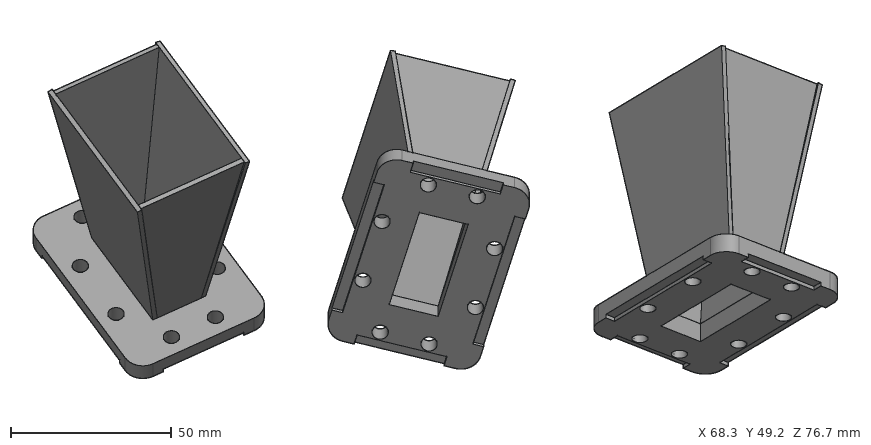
import cadquery as cq
import math

PLATE_LENGTH = 68.35
PLATE_WIDTH = 49.25
PLATE_THICKNESS = 6.4
CORNER_RADIUS = PLATE_THICKNESS

HOLE_DIAMETER = 5.1
HOLE_EDGE_DISTANCE = 6.4
LONG_SIDE_HOLE_SPACING = 22.25
SHORT_SIDE_HOLE_SPACING = 15.9

FOOT_SIZE = 10.05
RELIEF_HEIGHT = 1.3
RELIEF_DEPTH = 3.45

TOTAL_HEIGHT = 76.7
SHEET_THICKNESS = 1.6
MOUTH_LENGTH = 51.3
MOUTH_WIDTH = 37.35
THROAT_LENGTH = 34.75
THROAT_WIDTH = 15.9
BROAD_WALL_TOP_LENGTH = 55.85
BROAD_WALL_BOTTOM_LENGTH = 38.0

HOPPER_HEIGHT = TOTAL_HEIGHT - PLATE_THICKNESS


def make_plate():
    """Rounded plate with the throat opening, mounting holes and edge reliefs."""
    plate = (
        cq.Workplane("XY")
        .box(PLATE_LENGTH, PLATE_WIDTH, PLATE_THICKNESS, centered=(True, True, False))
        .edges("|Z")
        .fillet(CORNER_RADIUS)
    )
    opening = cq.Workplane("XY").rect(THROAT_LENGTH, THROAT_WIDTH).extrude(PLATE_THICKNESS)
    hole_x = PLATE_LENGTH / 2 - HOLE_EDGE_DISTANCE
    hole_y = PLATE_WIDTH / 2 - HOLE_EDGE_DISTANCE
    holes = (
        cq.Workplane("XY")
        .rarray(LONG_SIDE_HOLE_SPACING, 2 * hole_y, 2, 2)
        .circle(HOLE_DIAMETER / 2)
        .extrude(PLATE_THICKNESS)
    )
    holes = holes.add(
        cq.Workplane("XY")
        .rarray(2 * hole_x, SHORT_SIDE_HOLE_SPACING, 2, 2)
        .circle(HOLE_DIAMETER / 2)
        .extrude(PLATE_THICKNESS)
    ).combine()
    long_reliefs = (
        cq.Workplane("XY")
        .rarray(0.8, PLATE_WIDTH - RELIEF_DEPTH, 1, 2)
        .rect(PLATE_LENGTH - 2 * FOOT_SIZE, RELIEF_DEPTH)
        .extrude(RELIEF_HEIGHT)
    )
    short_reliefs = (
        cq.Workplane("XY")
        .rarray(PLATE_LENGTH - RELIEF_DEPTH, 0.8, 2, 1)
        .rect(RELIEF_DEPTH, PLATE_WIDTH - 2 * FOOT_SIZE)
        .extrude(RELIEF_HEIGHT)
    )
    return plate.cut(opening).cut(holes).cut(long_reliefs).cut(short_reliefs)


def trapezoid_prism(plane, bottom_length, top_length, depth):
    """Symmetric trapezoid of hopper height, extruded to both sides of a vertical plane."""
    return (
        cq.Workplane(plane)
        .polyline([
            (-bottom_length / 2, PLATE_THICKNESS),
            (bottom_length / 2, PLATE_THICKNESS),
            (top_length / 2, TOTAL_HEIGHT),
            (-top_length / 2, TOTAL_HEIGHT),
        ])
        .close()
        .extrude(depth / 2, both=True)
    )


def sloping_sheet(plane, side, throat, mouth, length):
    """Sheet leaning outward, flat on the plate and square-cut across its top."""
    slope = math.atan2((mouth - throat) / 2, HOPPER_HEIGHT)
    inner_bottom = throat / 2
    inner_top = mouth / 2
    outer_bottom = inner_bottom + SHEET_THICKNESS / math.cos(slope)
    outer_top = inner_top + SHEET_THICKNESS * math.cos(slope)
    outer_top_height = TOTAL_HEIGHT - SHEET_THICKNESS * math.sin(slope)
    return (
        cq.Workplane(plane)
        .polyline([
            (side * inner_bottom, PLATE_THICKNESS),
            (side * outer_bottom, PLATE_THICKNESS),
            (side * outer_top, outer_top_height),
            (side * inner_top, TOTAL_HEIGHT),
        ])
        .close()
        .extrude(length / 2, both=True)
    )


def make_broad_wall(side):
    """Wall across the Y direction, with tapering ends that cover the narrow walls."""
    sheet = sloping_sheet("YZ", side, THROAT_WIDTH, MOUTH_WIDTH, PLATE_LENGTH)
    outline = trapezoid_prism("XZ", BROAD_WALL_BOTTOM_LENGTH, BROAD_WALL_TOP_LENGTH, PLATE_WIDTH)
    return sheet.intersect(outline)


def make_narrow_wall(side):
    """Wall across the X direction, fitted between the inner faces of the broad walls."""
    sheet = sloping_sheet("XZ", side, THROAT_LENGTH, MOUTH_LENGTH, PLATE_WIDTH)
    outline = trapezoid_prism("YZ", THROAT_WIDTH, MOUTH_WIDTH, PLATE_LENGTH)
    return sheet.intersect(outline)


plate = make_plate()
broad_walls = [make_broad_wall(side) for side in (-1, 1)]
narrow_walls = [make_narrow_wall(side) for side in (-1, 1)]

result = cq.Compound.makeCompound([
    plate.solids().val(),
    *[wall.solids().val() for wall in broad_walls],
    *[wall.solids().val() for wall in narrow_walls],
])